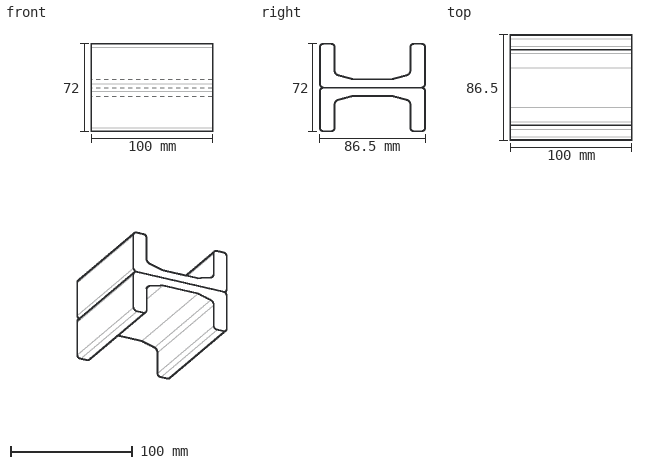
import cadquery as cq
import math

length = 100.0
width = 86.5
height = 36.0
flange_thickness = 12.2
web_thickness = 7.0
floor_width = 32.5
floor_slope_angle = 15.0
edge_radius = 3.0
root_radius = 4.0

outer_y = width / 2
inner_y = outer_y - flange_thickness
floor_y = floor_width / 2
root_z = web_thickness + (inner_y - floor_y) * math.tan(math.radians(floor_slope_angle))


def channel():
    """Upward-opening channel along X, with its back on the plane Z = 0."""
    outline = [
        (-outer_y, 0),
        (outer_y, 0),
        (outer_y, height),
        (inner_y, height),
        (inner_y, root_z),
        (floor_y, web_thickness),
        (-floor_y, web_thickness),
        (-inner_y, root_z),
        (-inner_y, height),
        (-outer_y, height),
    ]
    body = cq.Workplane("YZ").polyline(outline).close().extrude(length / 2, both=True)
    return round_roots(round_outer_edges(body))


def round_outer_edges(body):
    """Round the back corners and the flange tips."""
    return body.edges("|X and (<Z or >Z)").fillet(edge_radius)


def round_roots(body):
    """Fillet the corners where the sloping floor meets the flanges."""
    roots = cq.selectors.BoxSelector(
        (-length, -inner_y - edge_radius / 2, root_z - edge_radius / 2),
        (length, inner_y + edge_radius / 2, root_z + edge_radius / 2),
    )
    sharp_roots = body.edges("|X").edges(roots)
    return sharp_roots.fillet(root_radius)


channels = []
for turn_angle in (0, 180):
    turned_channel = channel().rotate((0, 0, 0), (1, 0, 0), turn_angle)
    channels.append(turned_channel.val())

result = cq.Compound.makeCompound(channels)